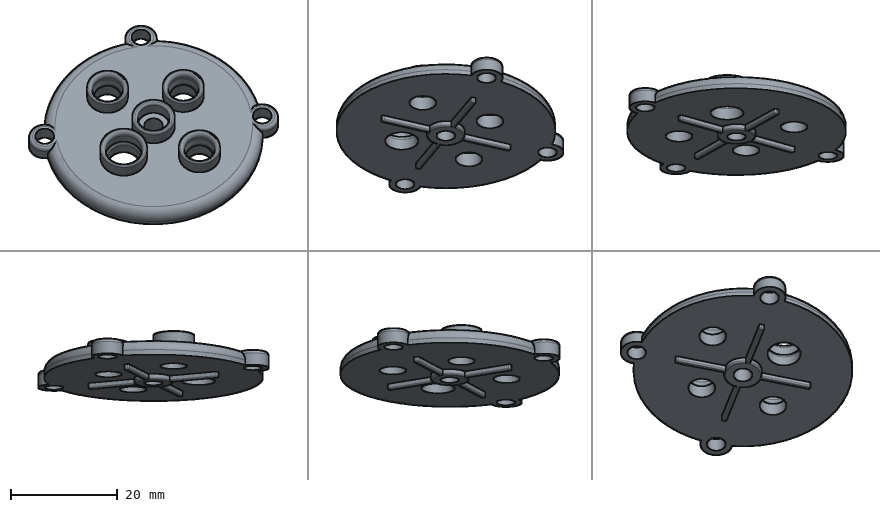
import cadquery as cq
import math

disc_diameter = 41.0
disc_thickness = 3.0
disc_rim_fillet = 2.0

lug_angles = (45, 135, 225)
lug_diameter = 6.0
lug_fillet = 0.7
lug_hole_diameter = 3.5

socket_height = 3.0
socket_rim_fillet = 0.2
ledge_height = disc_thickness
line_x = 11.0
line_y = 8.98
line_outer_diameter = 7.7
line_bore_diameter = 5.7
line_taper_diameter = 5.25
line_hole_diameter = 5.0
line_taper_top = 4.35
line_taper_bottom = 3.2
line_throat_height = 2.83
earth_outer_diameter = 8.8
earth_bore_diameter = 6.8
earth_y = -line_y
earth_hole_diameter = 6.2
earth_throat_fillet = 1.0

centre_outer_diameter = 8.0
centre_bore_diameter = 6.0
centre_hole_diameter = 3.5
centre_mouth_fillet = 0.5

pad_height = 1.02
pad_hub_diameter = 7.15
pad_arm_width = 1.0
pad_arm_length = 13.1
pad_arm_corner_fillet = 0.3
pad_bottom_fillet = 0.3
pad_bar_angles = (46.8, 136.8)

socket_top = disc_thickness + socket_height


def cylinder(diameter, z_bottom, z_top, x=0.0, y=0.0):
    """Upright cylinder between two heights."""
    base = cq.Workplane("XY", origin=(x, y, z_bottom))
    return base.circle(diameter / 2).extrude(z_top - z_bottom)


def make_pad():
    """Hub crossed by two bars near the diagonals, rounded at the bottom edge."""
    pad = cylinder(pad_hub_diameter, -pad_height, 0)
    for angle in pad_bar_angles:
        bar = cq.Workplane("XY", origin=(0, 0, -pad_height))
        bar = bar.rect(2 * pad_arm_length, pad_arm_width).extrude(pad_height)
        bar = bar.edges("|Z").fillet(pad_arm_corner_fillet)
        pad = pad.union(bar.rotate((0, 0, 0), (0, 0, 1), angle))
    return pad.faces("<Z").edges().fillet(pad_bottom_fillet)


def make_lug(x, y):
    """Round lug with a rounded top edge."""
    lug = cylinder(lug_diameter, 0, disc_thickness, x, y)
    return lug.faces(">Z").edges().fillet(lug_fillet)


def make_cutter(inner_profile, bore_diameter, mouth_fillet):
    """Turned cutter: the given half profile from the bottom up, then a bore with a flared mouth."""
    bore_radius = bore_diameter / 2
    flare_start = socket_top - mouth_fillet
    profile = inner_profile.lineTo(bore_radius, flare_start)
    profile = profile.radiusArc((bore_radius + mouth_fillet, socket_top), mouth_fillet)
    return profile.lineTo(0, socket_top).close().revolve(360, (0, 0, 0), (0, 1, 0))


def start_hole(diameter, z_top):
    """Half profile of the through hole, from under the part up to z_top."""
    radius = diameter / 2
    profile = cq.Workplane("XZ").moveTo(0, -pad_height).lineTo(radius, -pad_height)
    return profile.lineTo(radius, z_top)


def line_cutter():
    """Line socket: narrow throat, tapered seat, straight bore and wide flare."""
    taper_radius = line_taper_diameter / 2
    profile = start_hole(line_hole_diameter, line_throat_height)
    profile = profile.lineTo(taper_radius, line_taper_bottom)
    profile = profile.lineTo(line_bore_diameter / 2, line_taper_top)
    return make_cutter(profile, line_bore_diameter, (line_outer_diameter - line_bore_diameter) / 2)


def earth_cutter():
    """Earth socket: rounded throat, straight bore and wide flare."""
    step = (earth_bore_diameter - earth_hole_diameter) / 2
    throat_depth = math.sqrt(earth_throat_fillet**2 - (earth_throat_fillet - step) ** 2)
    profile = start_hole(earth_hole_diameter, ledge_height - throat_depth)
    profile = profile.radiusArc((earth_bore_diameter / 2, ledge_height), earth_throat_fillet)
    return make_cutter(profile, earth_bore_diameter, (earth_outer_diameter - earth_bore_diameter) / 2)


def centre_cutter():
    """Centre socket: flat ledge round the screw hole, straight bore and small flare."""
    profile = start_hole(centre_hole_diameter, ledge_height)
    profile = profile.lineTo(centre_bore_diameter / 2, ledge_height)
    return make_cutter(profile, centre_bore_diameter, centre_mouth_fillet)


def make_socket(outer_diameter, cutter):
    """Bored socket at the origin, rooted inside the disc, with its outer rim rounded."""
    socket = cylinder(outer_diameter, disc_thickness / 2, socket_top).cut(cutter)
    outer_rim = socket.edges(">Z").edges(cq.selectors.RadiusNthSelector(-1))
    return outer_rim.fillet(socket_rim_fillet)


result = cylinder(disc_diameter, 0, disc_thickness).faces(">Z").edges().fillet(disc_rim_fillet)
result = result.union(make_pad())

lug_centres = [
    (disc_diameter / 2 * math.cos(math.radians(a)), disc_diameter / 2 * math.sin(math.radians(a)))
    for a in lug_angles
]
for x, y in lug_centres:
    result = result.union(make_lug(x, y))
for x, y in lug_centres:
    result = result.cut(cylinder(lug_hole_diameter, 0, disc_thickness, x, y))

line_centres = [(-line_x, 0), (line_x, 0), (0, line_y)]
sockets = [(x, y, line_outer_diameter, line_cutter()) for x, y in line_centres]
sockets.append((0, earth_y, earth_outer_diameter, earth_cutter()))
sockets.append((0, 0, centre_outer_diameter, centre_cutter()))

for x, y, outer_diameter, cutter in sockets:
    socket = make_socket(outer_diameter, cutter)
    result = result.cut(cutter.translate((x, y, 0)))
    result = result.union(socket.translate((x, y, 0)))